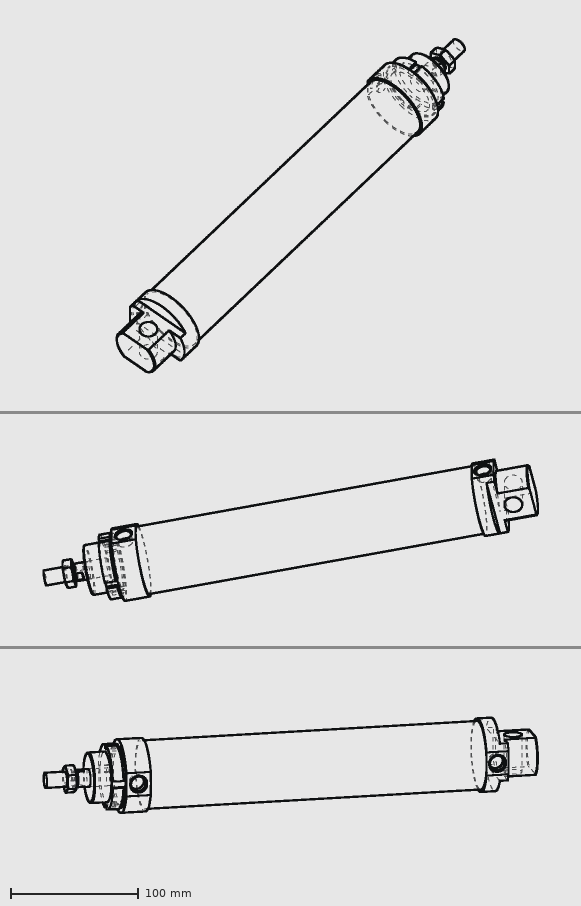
import cadquery as cq
import math

tip_y = 392.0
nut_front_y = 376.0
nut_length = 7.0
rod_shoulder_y = 367.0
neck_front_y = 357.0
ring_front_y = 343.5
ring_length = 8.5
head_front_y = 333.0
head_rear_y = 313.2
cap_front_y = 43.0
cap_step_y = 31.8
clevis_root_y = 25.5

head_diameter = 58.0
tube_diameter = 54.0
neck_diameter = 40.0
neck_chamfer = 0.8
clevis_thickness = 30.0
pivot_diameter = 14.0
pivot_y = 15.5

port_flat_offset = 27.5
port_diameter = 11.8
port_mouth_diameter = 13.7
port_depth = 8.0
front_port_y = (head_front_y + head_rear_y) / 2
rear_port_y = (cap_front_y + clevis_root_y) / 2

ring_diameter = 51.7
ring_collar_diameter = 50.0
slot_width = 5.5
slot_depth = 2.7
slot_count = 4

rod_diameter = 14.0
thread_diameter = 12.0
undercut_diameter = 10.0
undercut_length = 1.5
wrench_size = 12.5
wrench_length = 5.0
rod_socket_depth = 15.5

nut_across_flats = 19.2
nut_corner_diameter = nut_across_flats * 2 / math.sqrt(3)
nut_chamfer = 0.8


def cylinder(diameter, start_y, end_y):
    """Cylinder on the Y axis between two stations."""
    return (
        cq.Workplane("XZ", origin=(0, start_y, 0))
        .circle(diameter / 2)
        .extrude(start_y - end_y)
    )


def make_housing():
    """Clevis cap, tube, head and threaded neck, bored for the rod."""
    clevis = cylinder(neck_diameter, 0, clevis_root_y).faces("<Y").chamfer(neck_chamfer)
    cap = cylinder(head_diameter, clevis_root_y, cap_front_y)
    tube = cylinder(tube_diameter, cap_front_y, head_rear_y)
    head = cylinder(head_diameter, head_rear_y, head_front_y)
    neck = cylinder(neck_diameter, head_front_y, neck_front_y).faces(">Y").chamfer(neck_chamfer)
    body = clevis.union(cap).union(tube).union(head).union(neck)

    for side in (-1, 1):
        flat_cut = cq.Workplane("XY").box(
            head_diameter, cap_step_y, head_diameter, centered=(True, False, True)
        ).translate((0, 0, side * (clevis_thickness + head_diameter) / 2))
        body = body.cut(flat_cut)

    pivot = cq.Workplane("XY").center(0, pivot_y).circle(pivot_diameter / 2)
    body = body.cut(pivot.extrude(clevis_thickness, both=True))

    side_cut = cq.Workplane("XY").box(
        head_diameter, tip_y, head_diameter, centered=(True, False, True)
    ).translate((-port_flat_offset - head_diameter / 2, 0, 0))
    body = body.cut(side_cut)
    for port_y in (front_port_y, rear_port_y):
        port = (
            cq.Workplane("YZ", origin=(-port_flat_offset, port_y, 0))
            .circle(port_diameter / 2)
            .extrude(port_depth)
        )
        port = port.union(
            cq.Workplane("YZ", origin=(-port_flat_offset, port_y, 0))
            .circle(port_mouth_diameter / 2)
            .extrude((port_mouth_diameter - port_diameter) / 2, taper=45)
        )
        body = body.cut(port)

    rod_socket = cylinder(rod_diameter, neck_front_y - rod_socket_depth, neck_front_y)
    return body.cut(rod_socket)


def make_ring_nut():
    """Slotted ring nut on the neck, its rear collar bearing on the head."""
    ring_rear_y = ring_front_y - ring_length
    ring = cylinder(ring_diameter, ring_rear_y, ring_front_y)
    ring = ring.union(cylinder(ring_collar_diameter, head_front_y, ring_rear_y))
    ring = ring.cut(cylinder(neck_diameter, head_front_y, ring_front_y))
    slot = cq.Workplane("XY").box(
        slot_width, ring_front_y - head_front_y, slot_depth, centered=(True, False, False)
    ).translate((0, head_front_y, ring_diameter / 2 - slot_depth))
    for index in range(slot_count):
        ring = ring.cut(slot.rotate((0, 0, 0), (0, 1, 0), index * 360 / slot_count))
    return ring


def make_rod():
    """Piston rod with wrench flats, an undercut and a threaded end."""
    undercut_end_y = rod_shoulder_y + undercut_length
    rod = cylinder(rod_diameter, neck_front_y - rod_socket_depth, rod_shoulder_y)
    rod = rod.union(cylinder(undercut_diameter, rod_shoulder_y, undercut_end_y))
    rod = rod.union(cylinder(thread_diameter, undercut_end_y, tip_y))

    flat_z = wrench_size / 2
    flat_end_y = rod_shoulder_y - wrench_length
    runout = rod_diameter - flat_z
    flat_cut = (
        cq.Workplane("YZ")
        .moveTo(rod_shoulder_y, flat_z)
        .lineTo(flat_end_y, flat_z)
        .lineTo(flat_end_y - runout, rod_diameter)
        .lineTo(rod_shoulder_y, rod_diameter)
        .close()
        .extrude(rod_diameter, both=True)
    )
    rod = rod.cut(flat_cut).cut(flat_cut.mirror("XY"))
    return rod


def make_rod_nut():
    """Hexagon nut with corners at +Z and -Z, chamfered at both ends."""
    nut_rear_y = nut_front_y - nut_length
    hexagon = (
        cq.Workplane("XZ", origin=(0, nut_rear_y, 0))
        .polygon(6, nut_corner_diameter)
        .extrude(-nut_length)
        .rotate((0, 0, 0), (0, 1, 0), 90)
    )
    corner_round = cylinder(nut_corner_diameter, nut_rear_y, nut_front_y)
    corner_round = corner_round.faces("<Y or >Y").chamfer(nut_chamfer)
    bore = cylinder(thread_diameter, nut_rear_y, nut_front_y)
    return hexagon.intersect(corner_round).cut(bore)


housing = make_housing()
ring_nut = make_ring_nut()
rod = make_rod()
rod_nut = make_rod_nut()

result = cq.Compound.makeCompound([housing.val(), ring_nut.val(), rod.val(), rod_nut.val()])